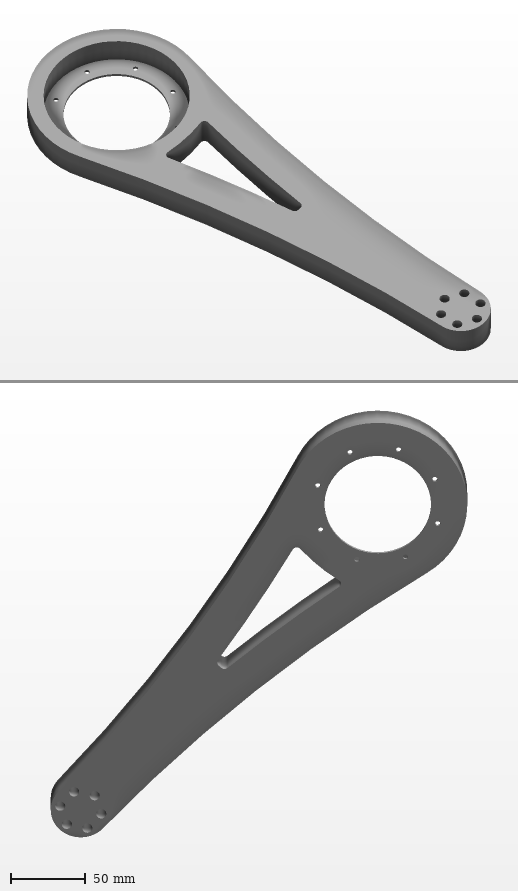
import cadquery as cq
import math

length = 380.0
thickness = 20.0
hub_radius = 60.0
tip_radius = 20.0
tip_x = length - hub_radius - tip_radius

recess_radius = 49.0
bore_radius = 35.7
floor_thickness = 2.0

hub_bolt_count = 8
hub_bolt_circle_radius = 42.5
hub_bolt_diameter = 3.5
tip_bolt_count = 6
tip_bolt_circle_radius = 14.0
tip_bolt_diameter = 7.0

rail_width = 25.0
window_start_x = 60.0
window_end_x = 159.2
window_start_wall_radius = 114.0
window_corner_radius = 3.0

side_radius = (tip_x**2 + tip_radius**2 - hub_radius**2) / (2 * (hub_radius - tip_radius))
side_center_y = tip_radius + side_radius
hub_tangent_scale = hub_radius / (hub_radius + side_radius)
hub_tangent_x = tip_x * hub_tangent_scale
hub_tangent_y = side_center_y * hub_tangent_scale


def side_y(x, inset=0.0):
    """Height of the upper side arc at x, moved inward by inset."""
    return side_center_y - math.sqrt((side_radius + inset) ** 2 - (tip_x - x) ** 2)


def arm_body():
    middle_x = (hub_tangent_x + tip_x) / 2
    return (
        cq.Workplane("XY")
        .moveTo(hub_tangent_x, hub_tangent_y)
        .threePointArc((middle_x, side_y(middle_x)), (tip_x, tip_radius))
        .threePointArc((tip_x + tip_radius, 0), (tip_x, -tip_radius))
        .threePointArc((middle_x, -side_y(middle_x)), (hub_tangent_x, -hub_tangent_y))
        .threePointArc((-hub_radius, 0), (hub_tangent_x, hub_tangent_y))
        .close()
        .extrude(thickness)
    )


def window():
    """Tapered opening whose long sides run parallel to the arm's sides."""
    wall_half_height = side_y(window_start_x, rail_width)
    wall_bulge = window_start_wall_radius - math.sqrt(window_start_wall_radius**2 - wall_half_height**2)
    corner_x = window_start_x - wall_bulge
    corner_y = side_y(corner_x, rail_width)
    middle_x = (corner_x + window_end_x) / 2
    middle_y = side_y(middle_x, rail_width)
    end_y = side_y(window_end_x, rail_width)
    return (
        cq.Workplane("XY")
        .moveTo(corner_x, corner_y)
        .threePointArc((middle_x, middle_y), (window_end_x, end_y))
        .lineTo(window_end_x, -end_y)
        .threePointArc((middle_x, -middle_y), (corner_x, -corner_y))
        .threePointArc((window_start_x, 0), (corner_x, corner_y))
        .close()
        .extrude(thickness)
        .edges("|Z")
        .fillet(window_corner_radius)
    )


def bolt_holes(center_x, circle_radius, diameter, count, start_angle):
    return (
        cq.Workplane("XY")
        .center(center_x, 0)
        .polarArray(circle_radius, start_angle, 360, count)
        .circle(diameter / 2)
        .extrude(thickness)
    )


recess = cq.Workplane("XY").workplane(offset=floor_thickness).circle(recess_radius).extrude(thickness)
bore = cq.Workplane("XY").circle(bore_radius).extrude(thickness)

hub_start_angle = 180 / hub_bolt_count
hub_holes = bolt_holes(0, hub_bolt_circle_radius, hub_bolt_diameter, hub_bolt_count, hub_start_angle)
tip_holes = bolt_holes(tip_x, tip_bolt_circle_radius, tip_bolt_diameter, tip_bolt_count, 0)

result = arm_body().cut(recess).cut(bore).cut(window()).cut(hub_holes).cut(tip_holes)